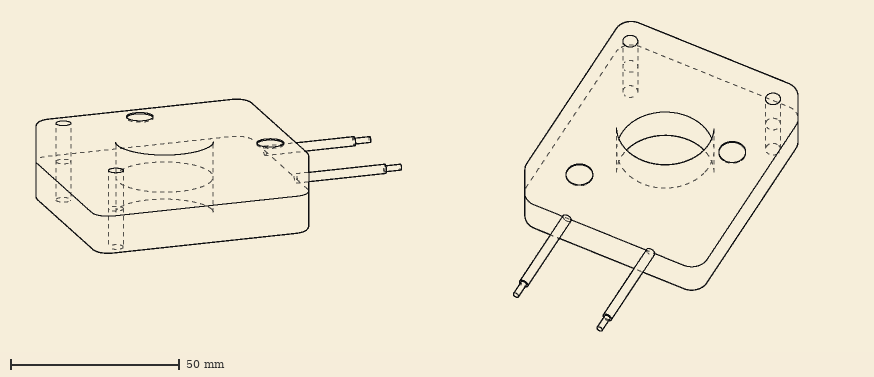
import cadquery as cq

WIDTH = 60.5
DEPTH = 68.1
HEIGHT = 24.0
HALF_HEIGHT = HEIGHT / 2
CORNER_RADIUS = 5.2
EDGE_RADIUS = 1.2

BORE_DIAMETER = 29.0
RIM_DIAMETER = 31.6
RIM_RADIUS = (RIM_DIAMETER - BORE_DIAMETER) / 2
BORE_Y = 31.6

HOLE_DIAMETER = 4.5
HOLE_SPACING = 47.8
HOLE_Y = 8.0

LABEL_DIAMETER = 8.0
LABEL_DEPTH = 0.4
REAR_LABEL_Y = 60.1
SIDE_LABEL_X = -22.5

TOTAL_LENGTH = 101.1
WIRE_SPACING = 28.0
INSULATION_DIAMETER = 2.8
CONDUCTOR_DIAMETER = 1.8
STRIPPED_LENGTH = 5.0
INSULATED_LENGTH = TOTAL_LENGTH - DEPTH - STRIPPED_LENGTH


def make_lower_half():
    """Lower half shell, from the base at Z = 0 up to the parting plane."""
    block = (
        cq.Workplane("XY")
        .rect(WIDTH, DEPTH)
        .extrude(HALF_HEIGHT)
        .translate((0, DEPTH / 2, 0))
        .edges("|Z")
        .fillet(CORNER_RADIUS)
        .faces("<Z")
        .edges()
        .fillet(EDGE_RADIUS)
    )
    bore = cq.Workplane("XY").center(0, BORE_Y).circle(BORE_DIAMETER / 2).extrude(HALF_HEIGHT)
    bored = block.cut(bore)
    largest_circle = cq.selectors.RadiusNthSelector(-1)
    rounded = bored.faces("<Z").edges("%CIRCLE").edges(largest_circle).fillet(RIM_RADIUS)
    mounting_holes = (
        cq.Workplane("XY")
        .pushPoints([(side * HOLE_SPACING / 2, HOLE_Y) for side in (-1, 1)])
        .circle(HOLE_DIAMETER / 2)
        .extrude(HALF_HEIGHT)
    )
    return rounded.cut(mounting_holes)


def make_upper_half():
    """Upper half shell: the lower half mirrored across the parting plane, plus label recesses."""
    label_recesses = (
        cq.Workplane("XY", origin=(0, 0, HEIGHT))
        .pushPoints([(WIRE_SPACING / 2, REAR_LABEL_Y), (SIDE_LABEL_X, BORE_Y)])
        .circle(LABEL_DIAMETER / 2)
        .extrude(-LABEL_DEPTH)
    )
    return make_lower_half().mirror("XY", (0, 0, HALF_HEIGHT)).cut(label_recesses)


def make_wire(x):
    """Lead wire that starts on the rear face of the housing, at the parting plane."""
    return (
        cq.Workplane("XZ", origin=(x, DEPTH, HALF_HEIGHT))
        .circle(INSULATION_DIAMETER / 2)
        .extrude(-INSULATED_LENGTH)
        .faces(">Y")
        .workplane()
        .circle(CONDUCTOR_DIAMETER / 2)
        .extrude(STRIPPED_LENGTH)
    )


lower_half = make_lower_half()
upper_half = make_upper_half()
wires = [make_wire(side * WIRE_SPACING / 2) for side in (-1, 1)]

result = cq.Compound.makeCompound(
    [lower_half.val(), upper_half.val(), *[wire.val() for wire in wires]]
)